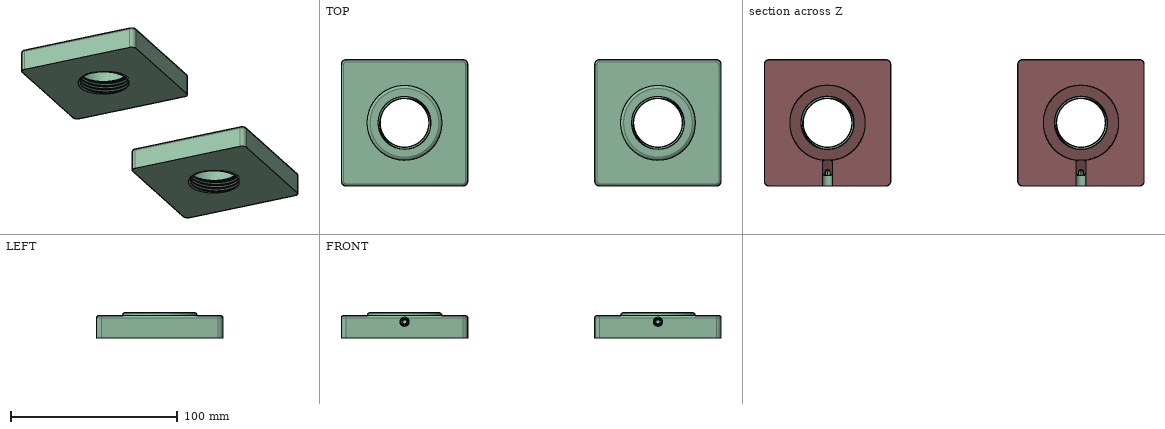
import cadquery as cq
import math

overall_length = 228.5
plate_side = 76.1
overall_height = 15.3
assembly_spacing = overall_length - plate_side

ring_height_above_plate = 1.8
plate_height = overall_height - ring_height_above_plate
corner_radius = 3.0
top_edge_round = 1.4

ring_seat_height = 8.5
ring_outer_diameter = 45.0
ring_bore_diameter = 31.8
ring_edge_round = 1.8

thread_major_diameter = ring_bore_diameter
thread_minor_diameter = 29.3
thread_turns = 4
thread_overrun_turns = 1
thread_pitch = ring_seat_height / thread_turns
thread_crest_width = thread_pitch / 8
thread_root_width = thread_pitch / 4
thread_start_angle = 305.0
thread_cut_overlap = 0.11

screw_diameter = 5.5
screw_height = 9.8
screw_recess = 6.5
hex_sides = 6
socket_across_flats = 2.7
socket_depth = 2.7
socket_point_angle = 118.0
screw_rim_chamfer = 0.7

plate_front = -plate_side / 2
ring_radius = ring_outer_diameter / 2
bore_radius = ring_bore_diameter / 2
screw_end = -ring_radius
screw_length = screw_end - plate_front - screw_recess
hex_half_angle = 180 / hex_sides
socket_across_corners = socket_across_flats / math.cos(math.radians(hex_half_angle))


def thread_groove():
    """Helical V groove, running past both ends of the threaded bore."""
    minor_radius = thread_minor_diameter / 2
    major_radius = thread_major_diameter / 2
    inner_radius = minor_radius - thread_cut_overlap
    mouth_half = (thread_pitch - thread_crest_width) / 2
    root_half = thread_root_width / 2
    flank_slope = (mouth_half - root_half) / (major_radius - minor_radius)
    inner_half = mouth_half + flank_slope * thread_cut_overlap
    groove_length = (thread_turns + 2 * thread_overrun_turns) * thread_pitch
    groove_start = -thread_overrun_turns * thread_pitch
    helix = cq.Wire.makeHelix(thread_pitch, groove_length, minor_radius)
    groove = (
        cq.Workplane("XZ")
        .moveTo(inner_radius, -inner_half)
        .lineTo(major_radius, -root_half)
        .lineTo(major_radius, root_half)
        .lineTo(inner_radius, inner_half)
        .close()
        .sweep(cq.Workplane(helix), isFrenet=True)
    )
    return groove.translate((0, 0, groove_start)).rotate((0, 0, 0), (0, 0, 1), thread_start_angle)


def along_y(start_y, length, diameter):
    """Cylinder at the screw height, running from start_y toward +Y."""
    return (
        cq.Workplane("XZ", origin=(0, start_y, screw_height))
        .circle(diameter / 2)
        .extrude(-length)
    )


def make_plate():
    """Square plate with ring counterbore, threaded bore and set screw hole."""
    plate = cq.Workplane("XY").rect(plate_side, plate_side).extrude(plate_height)
    plate = plate.edges("|Z").fillet(corner_radius)
    plate = plate.faces(">Z").edges().fillet(top_edge_round)

    ring_seat = (
        cq.Workplane("XY", origin=(0, 0, ring_seat_height))
        .circle(ring_radius)
        .extrude(plate_height)
    )
    bore = cq.Workplane("XY").circle(thread_minor_diameter / 2).extrude(ring_seat_height)
    screw_hole = along_y(plate_front, screw_end - plate_front, screw_diameter)
    return plate.cut(ring_seat).cut(thread_groove()).cut(bore).cut(screw_hole)


def make_ring():
    """Plain ring that stands proud of the plate with a rounded outer rim."""
    ring = (
        cq.Workplane("XY", origin=(0, 0, ring_seat_height))
        .circle(ring_radius)
        .circle(bore_radius)
        .extrude(overall_height - ring_seat_height)
    )
    outermost = cq.selectors.RadiusNthSelector(-1)
    return ring.faces(">Z").edges(outermost).fillet(ring_edge_round)


def make_set_screw():
    """Screw with bevelled ends and a hex socket ending in a drill point, opening toward -Y."""
    head_face = plate_front + screw_recess
    screw = along_y(head_face, screw_length, screw_diameter).edges().chamfer(screw_rim_chamfer)
    socket = (
        cq.Workplane("XZ", origin=(0, head_face, screw_height))
        .transformed(rotate=(0, 0, hex_half_angle))
        .polygon(hex_sides, socket_across_corners)
        .extrude(-socket_depth)
    )
    socket_bottom = head_face + socket_depth
    point_radius = socket_across_flats / 2
    point_depth = point_radius / math.tan(math.radians(socket_point_angle / 2))
    drill_point = cq.Workplane(
        cq.Solid.makeCone(
            point_radius,
            0,
            point_depth,
            pnt=cq.Vector(0, socket_bottom, screw_height),
            dir=cq.Vector(0, 1, 0),
        )
    )
    return screw.cut(socket).cut(drill_point)


bodies = []
for center_x in (-assembly_spacing / 2, assembly_spacing / 2):
    for body in (make_plate(), make_ring(), make_set_screw()):
        bodies.append(body.translate((center_x, 0, 0)).solids().val())

result = cq.Compound.makeCompound(bodies)